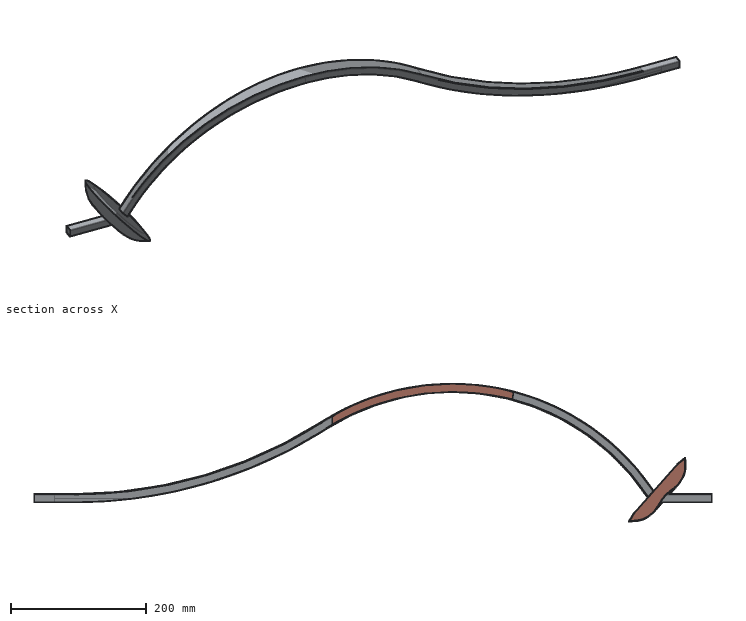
import cadquery as cq
import math

TOTAL_LENGTH = 1000.0
TOTAL_HEIGHT = 203.83

BAR_THICKNESS = 12.5
BAR_END_WIDTH = 12.5
BAR_MAX_WIDTH = 24.4
BAR_EDGE_RADIUS = 1.0
ARCH_TOP_Y = 383.0
ARCH_TOP_Z = 162.8
ARCH_RADIUS = 351.0
TAIL_START_Y = 940.0
PARALLEL_TAIL_Y = 970.0

GUARD_WIDTH = 136.47
GUARD_HEIGHT = 126.5
GUARD_TILT = 48.5
GUARD_CENTER_Y = 81.0
GUARD_BACK_RISE = 2.5
GUARD_BACK_FLAT_RADIUS = 53.0
GUARD_RIDGE_RADIUS = 30.0
GUARD_RIDGE_DEPTH = 18.5
GUARD_DIMPLE_DEPTH = 14.0

half_thickness = BAR_THICKNESS / 2
guard_radius = GUARD_WIDTH / 2
arch_center_z = ARCH_TOP_Z - ARCH_RADIUS
center_span = TAIL_START_Y - ARCH_TOP_Y
sweep_radius = (center_span**2 + arch_center_z**2 - ARCH_RADIUS**2) / (2 * (ARCH_RADIUS + arch_center_z))
join_angle = math.asin(center_span / (ARCH_RADIUS + sweep_radius))
guard_bottom_z = ARCH_TOP_Z + half_thickness - TOTAL_HEIGHT
guard_center_z = guard_bottom_z + GUARD_HEIGHT / 2 * math.sin(math.radians(GUARD_TILT))


def arch_point(angle, offset):
    """Point at an angle from the crest (rear positive), offset outward from the centreline."""
    radius = ARCH_RADIUS + offset
    return (ARCH_TOP_Y + radius * math.sin(angle), arch_center_z + radius * math.cos(angle))


def sweep_point(angle, offset):
    """Point at an angle ahead of the tail start, offset upward from the centreline."""
    radius = sweep_radius - offset
    return (TAIL_START_Y - radius * math.sin(angle), sweep_radius - radius * math.cos(angle))


def arch_foot_angle(offset):
    """Angle at which an edge of the arch runs into the same edge of the level grip."""
    return -math.acos((offset - arch_center_z) / (ARCH_RADIUS + offset))


def make_bar():
    upper = half_thickness
    lower = -half_thickness
    upper_foot = arch_foot_angle(upper)
    lower_foot = arch_foot_angle(lower)
    side = (
        cq.Workplane("YZ")
        .moveTo(0, upper)
        .lineTo(*arch_point(upper_foot, upper))
        .threePointArc(arch_point((upper_foot + join_angle) / 2, upper), arch_point(join_angle, upper))
        .threePointArc(sweep_point(join_angle / 2, upper), sweep_point(0, upper))
        .lineTo(TOTAL_LENGTH, upper)
        .lineTo(TOTAL_LENGTH, lower)
        .lineTo(*sweep_point(0, lower))
        .threePointArc(sweep_point(join_angle / 2, lower), sweep_point(join_angle, lower))
        .threePointArc(arch_point((lower_foot + join_angle) / 2, lower), arch_point(lower_foot, lower))
        .lineTo(0, lower)
        .close()
        .extrude(BAR_MAX_WIDTH, both=True)
    )
    half_end = BAR_END_WIDTH / 2
    half_max = BAR_MAX_WIDTH / 2
    grip_end_y = arch_point(arch_foot_angle(0), 0)[0]
    rearward = (0, 1)
    forward = (0, -1)
    plan = (
        cq.Workplane("XY")
        .moveTo(half_end, 0)
        .lineTo(half_end, grip_end_y)
        .spline([(half_max, ARCH_TOP_Y)], tangents=[rearward, rearward], includeCurrent=True)
        .spline([(half_end, PARALLEL_TAIL_Y)], tangents=[rearward, rearward], includeCurrent=True)
        .lineTo(half_end, TOTAL_LENGTH)
        .lineTo(-half_end, TOTAL_LENGTH)
        .lineTo(-half_end, PARALLEL_TAIL_Y)
        .spline([(-half_max, ARCH_TOP_Y)], tangents=[forward, forward], includeCurrent=True)
        .spline([(-half_end, grip_end_y)], tangents=[forward, forward], includeCurrent=True)
        .lineTo(-half_end, 0)
        .close()
        .extrude(TOTAL_HEIGHT, both=True)
    )
    return side.intersect(plan)


def make_guard():
    inward = (-1, 0)
    steep_inward = (-1, -1)
    ridge = (GUARD_RIDGE_RADIUS, -GUARD_RIDGE_DEPTH)
    round_guard = (
        cq.Workplane("XZ")
        .moveTo(0, GUARD_BACK_RISE)
        .lineTo(GUARD_BACK_FLAT_RADIUS, GUARD_BACK_RISE)
        .lineTo(guard_radius, 0)
        .spline([ridge], tangents=[steep_inward, inward], includeCurrent=True)
        .spline([(0, -GUARD_DIMPLE_DEPTH)], tangents=[inward, inward], includeCurrent=True)
        .close()
        .revolve(360, (0, 0), (0, 1))
    )
    squash = cq.Matrix([[1, 0, 0, 0], [0, GUARD_HEIGHT / GUARD_WIDTH, 0, 0], [0, 0, 1, 0]])
    oval_guard = cq.Workplane(round_guard.val().transformGeometry(squash))
    return (
        oval_guard.rotate((0, 0, 0), (1, 0, 0), -GUARD_TILT)
        .translate((0, GUARD_CENTER_Y, guard_center_z))
    )


def is_lengthwise(edge):
    """True for edges running along the bar; end, kink and seam edges hold one Y place."""
    return edge.BoundingBox().ylen > BAR_EDGE_RADIUS


bar = make_bar()
long_edges = bar.edges().filter(is_lengthwise)
bar = long_edges.fillet(BAR_EDGE_RADIUS)
result = bar.union(make_guard())